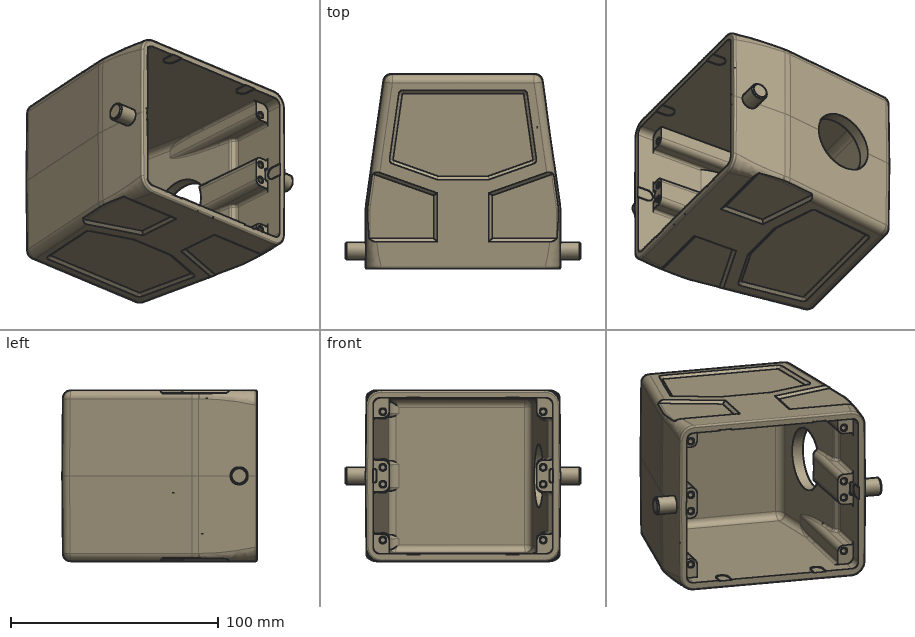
import cadquery as cq
import math


reach = 113.2
narrow = 2.3

total_height = 82.5
half_height = total_height / 2
half_width = 47.0
end_y = 94.0
kink_y = 29.9
slope = math.tan(math.radians(8.0))
draft_angle = 0.5
draft = math.tan(math.radians(draft_angle))
kink_radius = 22.6
edge_radius = 4.1
rim_radius = 7.4
flare_y = 27.7
rim_rounding = 0.9
lip_y = 1.2 * rim_rounding

inner_half_width = 43.2
inner_half_height = 37.6
floor_y = 89.8
left_kink_y = 35.1
step_start_y = 30.2
step_size = 2.5
step_radius = 1.8
cavity_edge_radius = 3.3
floor_radius = 3.7

rib_front_y = 8.4
rib_inner_x = 35.5
rib_outer_x = 50.9
rib_foot_radius = 4.5
rib_edge_radius = 2.9
rib_draft = 0.01
rib_root_radius = 1.4
middle_rib_half = 7.6
corner_rib_z = 28.1
screw_x = 38.6
middle_screw_z = 4.1
corner_screw_z = 30.9
screw_hole = 2.7
screw_mouth = 3.5
screw_depth = 11.3

entry_diameter = 30.5
entry_y = 64.0
entry_length = 22.6
pin_diameter = 8.5
pin_y = 8.6
pin_tip_x = 56.6
pin_chamfer = 0.7
slot_width = 6.1
slot_depth = 0.3
slot_x = 23.8
notch_half = 3.8
notch_x = 41.0
notch_bevel = 1.0
notch_taper = 3.5

recess_depth = 1.4
recess_run = 1.7
recess_corner_radius = 2.3
recess_inset = 8.4
label_end_y = 86.1
label_front_y = 43.0
pad_x = 12.5
pad_front_y = 13.0
pad_back_y = 36.6
pad_outer_x = 56.6
pad_slope = math.tan(math.radians(19.5))
pad_reach = 3
pad_edge_radius = 1.8


def edges_near(center, size):
    """Selector for edges whose centre lies in a box of the given size."""
    low = tuple(middle - side / 2 for middle, side in zip(center, size))
    high = tuple(middle + side / 2 for middle, side in zip(center, size))
    return cq.selectors.BoxSelector(low, high)


def with_lower_half(half):
    """Join a solid standing on z = 0 with its mirror image below."""
    return half.union(half.mirror("XY"))


def outer_x(y):
    """Half width of the tapered stretch at z = 0."""
    return half_width - slope * (y - kink_y)


def upper_half(top_z, radius, front_y):
    """Drafted upper half of the shell outline, rounded on the top and at the back corners."""
    end_x = outer_x(end_y)
    outline = [
        (-half_width, front_y), (half_width, front_y), (half_width, kink_y),
        (end_x, end_y), (-end_x, end_y), (-half_width, kink_y),
    ]
    half = cq.Workplane("XY").polyline(outline).close().extrude(top_z, taper=draft_angle)
    half = half.edges(edges_near((0, kink_y, top_z / 2), (reach, narrow, narrow))).fillet(kink_radius)
    half = half.edges(edges_near((0, end_y, top_z / 2), (reach, narrow, narrow))).fillet(radius)
    return half.faces(">Z").edges().fillet(radius)


def rim_section(y):
    """Six-sided section of the straight front stretch; its corners widen towards the rim."""
    radius = edge_radius + (rim_radius - edge_radius) * ((flare_y - y) / flare_y) ** 2
    top_x = half_width - half_height * draft
    points = [
        (half_width, 0), (top_x, half_height), (-top_x, half_height),
        (-half_width, 0), (-top_x, -half_height), (top_x, -half_height), (half_width, 0),
    ]
    section = cq.Sketch().polygon(points).vertices(">Y or <Y").fillet(radius)
    return section.moved(cq.Location(cq.Vector(0, 0, -y)))


def make_shell():
    """Solid outer form: filleted tapered back, straight front and a rounded rim lip."""
    back = with_lower_half(upper_half(half_height, edge_radius, flare_y / 2))
    keep = cq.Workplane("XY").box(reach, reach, reach).translate((0, flare_y + reach / 2, 0))
    sections = [rim_section(y) for y in (lip_y, (lip_y + flare_y) / 2, flare_y)]
    front = cq.Workplane("XZ").placeSketch(*sections).loft()
    lip = cq.Workplane("XZ").placeSketch(rim_section(0), rim_section(lip_y)).loft(ruled=True)
    lip = lip.faces("<Y").edges().fillet(rim_rounding)
    return back.intersect(keep).union(front).union(lip)


def make_rib(low_z, high_z):
    """Rib on the +X side whose foot flares into the floor and whose flanks are drafted."""
    foot_y = floor_y - rib_foot_radius
    foot_x = rib_inner_x - rib_foot_radius
    middle = rib_foot_radius * (1 - math.sqrt(0.5))
    plan = (
        cq.Workplane("XY").workplane(offset=-reach / 2)
        .moveTo(rib_outer_x, rib_front_y).lineTo(rib_inner_x, rib_front_y).lineTo(rib_inner_x, foot_y)
        .threePointArc((rib_inner_x - middle, floor_y - middle), (foot_x, floor_y))
        .lineTo(rib_outer_x, floor_y).close().extrude(reach)
    )
    spread = rib_draft * (floor_y - rib_front_y)
    side = (
        cq.Workplane("YZ")
        .polyline([
            (rib_front_y, low_z), (rib_front_y, high_z),
            (floor_y, high_z + spread), (floor_y, low_z - spread),
        ])
        .close().extrude(rib_outer_x)
    )
    return plan.intersect(side).edges("not (|X or |Z)").fillet(rib_edge_radius)


def make_cavity():
    """Inner space with the screw ribs left standing; the +X wall thickens at a step."""
    left_end_x = inner_half_width - slope * (floor_y - left_kink_y)
    step_x = inner_half_width - step_size
    step_y = step_start_y + step_size
    right_end_x = step_x - slope * (floor_y - step_y)
    plan = [
        (-inner_half_width, 0), (inner_half_width, 0), (inner_half_width, step_start_y),
        (step_x, step_y), (right_end_x, floor_y), (-left_end_x, floor_y),
        (-inner_half_width, left_kink_y),
    ]
    floor_z = inner_half_height - draft * floor_y
    side = [
        (0, -inner_half_height), (0, inner_half_height), (floor_y, floor_z), (floor_y, -floor_z),
    ]
    cavity = cq.Workplane("XY").workplane(offset=-reach / 2).polyline(plan).close().extrude(reach)
    step_middle = ((inner_half_width + step_x) / 2, (step_start_y + step_y) / 2, 0)
    step_edges = edges_near(step_middle, (2 * step_size, 2 * step_size, narrow))
    cavity = cavity.edges(step_edges).fillet(step_radius)
    cavity = cavity.intersect(cq.Workplane("YZ").polyline(side).close().extrude(reach, both=True))
    for z in (-inner_half_height, inner_half_height):
        corners = edges_near((0, floor_y / 2, z), (reach, floor_y - narrow, narrow))
        cavity = cavity.edges(corners).fillet(cavity_edge_radius)
    cavity = cavity.faces(">Y").edges().fillet(floor_radius)
    ribs = make_rib(-middle_rib_half, middle_rib_half)
    corner_rib = make_rib(corner_rib_z, reach / 2)
    ribs = ribs.union(corner_rib).union(corner_rib.mirror("XY"))
    cavity = cavity.cut(ribs).cut(ribs.mirror("YZ"))
    for x in (-inner_half_width, inner_half_width):
        root_middle = (x, (rib_front_y + left_kink_y) / 2, 0)
        roots = edges_near(root_middle, (narrow, 2 * rib_front_y, 2 * corner_screw_z))
        cavity = cavity.edges(roots).fillet(rib_root_radius)
    return cavity


def make_screw_holes():
    """Blind screw holes with countersunk mouths in the rib fronts."""
    holes = cq.Workplane("XY")
    mouth_depth = (screw_mouth - screw_hole) / 2
    along = cq.Vector(0, 1, 0)
    for x in (-screw_x, screw_x):
        for z in (-corner_screw_z, -middle_screw_z, middle_screw_z, corner_screw_z):
            start = cq.Vector(x, rib_front_y, z)
            holes = holes.add(cq.Solid.makeCylinder(screw_hole / 2, screw_depth, start, along))
            holes = holes.add(
                cq.Solid.makeCone(screw_mouth / 2, screw_hole / 2, mouth_depth, start, along))
    return holes.combine()


def make_recesses():
    """Label recess and two side pads, cut alike into the top and the bottom face."""
    wall_angle = math.degrees(math.atan(recess_run / recess_depth))
    end_x = outer_x(label_end_y) - recess_inset
    side_x_at_zero = outer_x(0) - recess_inset
    shoulder_x = (side_x_at_zero - slope * (label_front_y - pad_slope * pad_x)) / (1 + slope * pad_slope)
    shoulder_y = label_front_y + pad_slope * (shoulder_x - pad_x)
    label_outline = [
        (-end_x, label_end_y), (-shoulder_x, shoulder_y), (-pad_x, label_front_y),
        (pad_x, label_front_y), (shoulder_x, shoulder_y), (end_x, label_end_y), (-end_x, label_end_y),
    ]
    label = cq.Sketch().polygon(label_outline)
    label = label.reset().vertices("<X or >X or >Y").fillet(recess_corner_radius)
    top = cq.Workplane("XY").workplane(offset=half_height)
    label = top.placeSketch(label).extrude(-recess_depth, taper=wall_angle)

    pad_outline = [
        (pad_x, pad_front_y), (pad_outer_x, pad_front_y),
        (pad_outer_x, pad_back_y + pad_slope * (pad_outer_x - pad_x)), (pad_x, pad_back_y),
    ]
    pad = top.polyline(pad_outline).close().extrude(-pad_reach * recess_depth, taper=wall_angle)
    pads = pad.union(pad.mirror("YZ"))
    pads = pads.cut(upper_half(half_height - recess_depth, pad_edge_radius, pad_front_y / 2))
    recesses = label.union(pads)
    return recesses.union(recesses.mirror("XY"))


def make_rim_slots():
    """Shallow round-ended slots running in from the rim on all four inner walls."""
    length = 2 * rib_front_y
    flat = cq.Workplane("XY").slot2D(length, slot_width, 90).extrude(slot_depth, both=True)
    upright = cq.Workplane("YZ").slot2D(length, slot_width).extrude(slot_depth, both=True)
    slots = cq.Workplane("XY")
    for side in (-1, 1):
        for x in (-slot_x, slot_x):
            slots = slots.union(flat.translate((x, 0, side * inner_half_height)))
        slots = slots.union(upright.translate((side * inner_half_width, 0, 0)))
    return slots


def make_rib_notch():
    """Bevelled notch in each middle rib behind the pin, narrowing away from the rim."""
    width = 2 * (inner_half_width - notch_x)
    depth = pin_y + pin_diameter / 2
    outline = cq.Sketch().rect(width, 2 * notch_half).vertices().chamfer(notch_bevel)
    notch = cq.Workplane("XZ").center(inner_half_width, 0).placeSketch(outline)
    notch = notch.extrude(-depth, taper=notch_taper)
    inside = cq.Workplane("XY").box(2 * inner_half_width, reach, reach)
    notch = notch.intersect(inside)
    return notch.union(notch.mirror("YZ"))


def make_pin():
    """Locking pin on the +X wall with a chamfered tip."""
    length = pin_tip_x - inner_half_width - slot_depth
    pin = cq.Workplane("YZ").workplane(offset=inner_half_width + slot_depth)
    pin = pin.center(pin_y, 0).circle(pin_diameter / 2).extrude(length)
    return pin.faces(">X").chamfer(pin_chamfer)


def make_cable_entry():
    """Round opening square to the sloping +X wall."""
    normal = cq.Vector(1, slope, 0)
    start = cq.Vector(outer_x(entry_y), entry_y, 0) - normal * (entry_length / 2)
    return cq.Workplane(cq.Solid.makeCylinder(entry_diameter / 2, entry_length, start, normal))


result = make_shell().cut(make_recesses()).cut(make_cavity())
result = result.cut(make_cable_entry()).cut(make_rim_slots()).cut(make_rib_notch())
result = result.cut(make_screw_holes())
pin = make_pin()
result = result.union(pin).union(pin.mirror("YZ"))